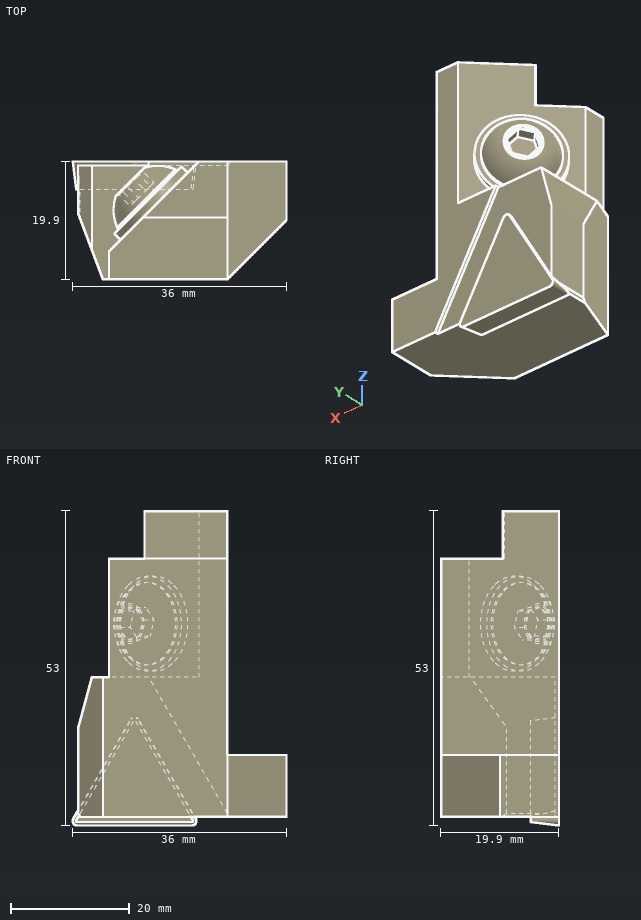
import cadquery as cq
import math


depth = 19.9
shank_step_x = -20.0
shank_height = 43.5
diagonal_start_x = -4.75

tongue_x = -14.0
tongue_depth = 9.5
total_height = 51.5

foot_width = 9.95
foot_height = 10.45

head_side_x = -25.1
head_front_x = -21.0
head_side_depth = 8.85
head_height = 23.55
slope_start_z = 15.1
slope_top_x = -22.85
heel_width = 0.3

recess_depth = 0.7
recess_top_x = -13.25

insert_center_x = -15.65
insert_overhang = 1.5
inscribed_radius = 6.35
insert_thickness = 4.75
nose_radius = 0.8
clearance_angle = 7.0
triangle_angle = 60.0

screw_depth = 7.6
screw_z = 32.55
flange_diameter = 16.0
flange_thickness = 1.5
dome_diameter = 13.9
dome_base_height = 1.85
dome_top_diameter = 6.75
screw_height = 5.8
socket_mouth_diameter = 6.05
socket_cone_diameter = 5.5
socket_corner_diameter = 5.8
socket_depth = 2.9
socket_turn = -13.0


def prism_z(points, height):
    """Extrude an outline in X and Y upwards from Z = 0."""
    return cq.Workplane("XY").polyline(points).close().extrude(height)


def prism_y(points, length):
    """Extrude an outline in X and Z from the back face towards the front."""
    return cq.Workplane("XZ").polyline(points).close().extrude(length)


def make_shank():
    diagonal_end_depth = diagonal_start_x - shank_step_x
    shank = prism_z(
        [
            (0, 0),
            (diagonal_start_x, 0),
            (shank_step_x, -diagonal_end_depth),
            (shank_step_x, -depth),
            (0, -depth),
        ],
        shank_height,
    )
    tongue = prism_z(
        [
            (0, 0),
            (diagonal_start_x, 0),
            (tongue_x, tongue_x - diagonal_start_x),
            (tongue_x, -tongue_depth),
            (0, -tongue_depth),
        ],
        total_height,
    )
    return shank.union(tongue)


def make_foot():
    return prism_z(
        [(0, 0), (foot_width, 0), (foot_width, foot_width - depth), (0, -depth)],
        foot_height,
    )


def make_head():
    head = prism_z(
        [
            (0, 0),
            (head_side_x, 0),
            (head_side_x, -head_side_depth),
            (head_front_x, -depth),
            (0, -depth),
        ],
        head_height,
    )
    heel_height = heel_width * math.tan(math.radians(triangle_angle))
    side_profile = prism_y(
        [
            (0, 0),
            (head_side_x + heel_width, 0),
            (head_side_x, heel_height),
            (head_side_x, slope_start_z),
            (slope_top_x, head_height),
            (0, head_height),
        ],
        depth,
    )
    return head.intersect(side_profile)


def make_recess():
    """Shallow step in the back face; its wall runs parallel to one edge of the insert."""
    wall_run = head_height / math.tan(math.radians(triangle_angle))
    return prism_y(
        [
            (head_side_x, 0),
            (recess_top_x + wall_run, 0),
            (recess_top_x, head_height),
            (head_side_x, head_height),
        ],
        recess_depth,
    )


def make_insert():
    """Triangle with rounded noses that narrows with depth by the clearance angle."""
    center_z = inscribed_radius - insert_overhang
    corner_radius = 2 * inscribed_radius
    corners = [
        (
            corner_radius * math.cos(math.radians(angle)),
            corner_radius * math.sin(math.radians(angle)),
        )
        for angle in (90, 210, 330)
    ]
    return (
        cq.Workplane("XZ", origin=(insert_center_x, 0, center_z))
        .sketch()
        .polygon(corners + corners[:1])
        .vertices()
        .fillet(nose_radius)
        .finalize()
        .extrude(insert_thickness, taper=clearance_angle)
    )


def make_screw_head():
    """Flanged dome with a hexagon socket, standing square on the diagonal face."""
    face = cq.Plane(
        origin=(diagonal_start_x - screw_depth, -screw_depth, screw_z),
        xDir=(1, 1, 0),
        normal=(-1, 1, 0),
    )
    flange_radius = flange_diameter / 2
    dome_radius = dome_diameter / 2
    top_radius = dome_top_diameter / 2

    dome_rise = screw_height - dome_base_height
    sphere_center = (
        screw_height + dome_base_height - (dome_radius**2 - top_radius**2) / dome_rise
    ) / 2
    sphere_radius = math.hypot(dome_radius, dome_base_height - sphere_center)
    middle_height = (screw_height + dome_base_height) / 2
    middle_radius = math.sqrt(sphere_radius**2 - (middle_height - sphere_center) ** 2)

    head = (
        cq.Workplane(face)
        .transformed(rotate=(90, 0, 0))
        .lineTo(flange_radius, 0)
        .lineTo(flange_radius, flange_thickness)
        .lineTo(dome_radius, flange_thickness)
        .lineTo(dome_radius, dome_base_height)
        .threePointArc((middle_radius, middle_height), (top_radius, screw_height))
        .lineTo(0, screw_height)
        .close()
        .revolve(360, (0, 0, 0), (0, 1, 0))
    )
    socket = (
        cq.Workplane(face)
        .workplane(offset=screw_height)
        .transformed(rotate=(0, 0, socket_turn))
        .polygon(6, socket_corner_diameter)
        .extrude(-socket_depth)
    )
    mouth_depth = (socket_mouth_diameter - socket_cone_diameter) / 2
    mouth = (
        cq.Workplane(face)
        .workplane(offset=screw_height)
        .circle(socket_mouth_diameter / 2)
        .workplane(offset=-mouth_depth)
        .circle(socket_cone_diameter / 2)
        .loft()
    )
    return head.cut(socket).cut(mouth)


insert = make_insert()
holder = (
    make_head()
    .union(make_shank())
    .union(make_foot())
    .cut(make_recess())
    .cut(insert)
    .union(make_screw_head())
)

result = cq.Compound.makeCompound([holder.val(), insert.val()])